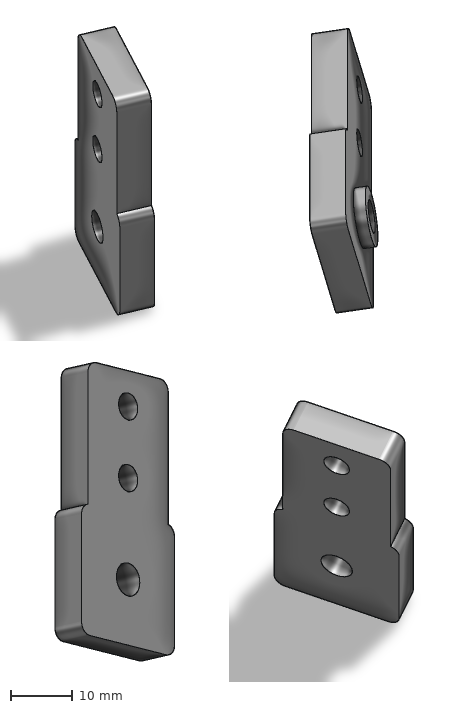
import cadquery as cq

plate_thickness = 6.0
total_height = 46.0
foot_width = 22.0
foot_height = 22.0
tongue_width = 19.0
corner_radius = 2.0

boss_diameter = 10.0
boss_height = 2.0
bore_diameter = 5.5
boss_z = 11.0

mount_hole_diameter = 4.5
mount_hole_heights = (28.0, 40.0)

total_depth = plate_thickness + boss_height


def rounded_block(width, height):
    """Block standing on Z = 0, front face on Y = 0, with its four Y-direction edges rounded."""
    block = cq.Workplane("XY").box(width, plate_thickness, height, centered=(True, False, False))
    return block.edges("|Y").fillet(corner_radius)


def cylinder_along_y(diameter, z, length):
    """Cylinder on the X = 0 plane, running from Y = 0 toward +Y."""
    start = cq.Vector(0, 0, z)
    along_y = cq.Vector(0, 1, 0)
    return cq.Workplane(cq.Solid.makeCylinder(diameter / 2, length, start, along_y))


foot = rounded_block(foot_width, foot_height)
tongue = rounded_block(tongue_width, total_height)
plate = foot.union(tongue)

result = plate.union(cylinder_along_y(boss_diameter, boss_z, total_depth))
result = result.cut(cylinder_along_y(bore_diameter, boss_z, total_depth))
for hole_z in mount_hole_heights:
    result = result.cut(cylinder_along_y(mount_hole_diameter, hole_z, plate_thickness))